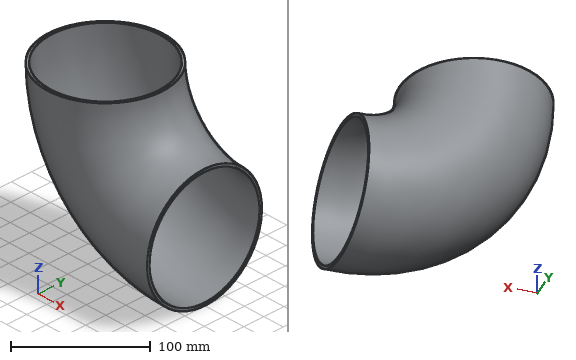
import cadquery as cq

overall_size = 159.2
outer_diameter = 114.3
wall_thickness = 2.5
bend_angle = 90.0

outer_radius = outer_diameter / 2
inner_radius = outer_radius - wall_thickness
bend_radius = overall_size - outer_radius

pipe_ring = (
    cq.Workplane("XY")
    .center(-bend_radius, 0)
    .circle(outer_radius)
    .circle(inner_radius)
)

axis_start = (bend_radius, 0)
axis_end = (bend_radius, -1)
result = pipe_ring.revolve(bend_angle, axis_start, axis_end)